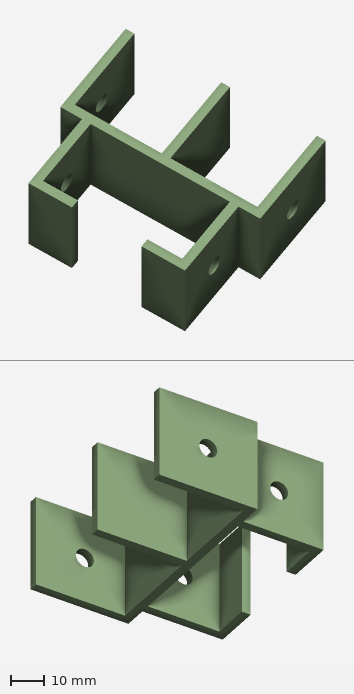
import cadquery as cq

width = 73.0
depth = 63.5
height = 31.8

bay_width = 31.8
bay_depth = 31.8
wall = (width - 2 * bay_width) / 3

channel_width = 57.2
lip_gap = 25.4

hole_diameter = 6.35
bay_hole_from_back = 17.45
channel_hole_from_front = 15.85

back_y = depth / 2
front_y = -depth / 2
web_back_y = back_y - bay_depth
web_front_y = web_back_y - wall
lip_length = (channel_width - lip_gap) / 2


def plate(x_min, x_max, y_min, y_max):
    """Full-height rectangular plate, centred on Z = 0."""
    return (
        cq.Workplane("XY")
        .box(x_max - x_min, y_max - y_min, height, centered=(False, False, True))
        .translate((x_min, y_min, 0))
    )


def hole_cutter(x_min, x_max, y):
    """Cylinder along X at mid-height."""
    return (
        cq.Workplane("YZ", origin=(x_min, y, 0))
        .circle(hole_diameter / 2)
        .extrude(x_max - x_min)
    )


result = plate(-width / 2, width / 2, web_front_y, web_back_y)
result = result.union(plate(-wall / 2, wall / 2, web_front_y, back_y))

right_half = (
    plate(width / 2 - wall, width / 2, web_front_y, back_y)
    .union(plate(channel_width / 2 - wall, channel_width / 2, front_y, web_back_y))
    .union(plate(channel_width / 2 - lip_length, channel_width / 2, front_y, front_y + wall))
)
result = result.union(right_half).union(right_half.mirror("YZ"))

bay_hole_y = back_y - bay_hole_from_back
bay_middle = (wall + bay_width) / 2
for x_min, x_max in ((-width / 2, -bay_middle), (bay_middle, width / 2)):
    result = result.cut(hole_cutter(x_min, x_max, bay_hole_y))

channel_hole_y = front_y + channel_hole_from_front
result = result.cut(hole_cutter(-channel_width / 2, channel_width / 2, channel_hole_y))